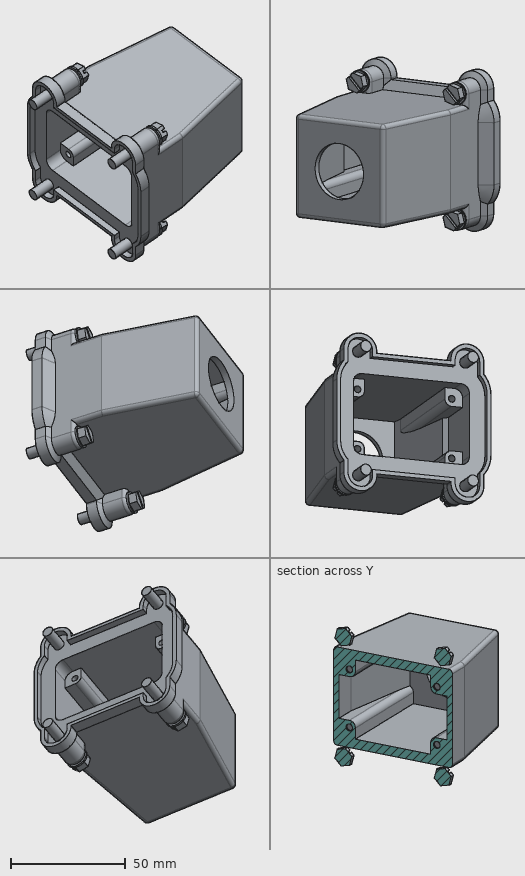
import cadquery as cq
import math

flange_width = 72.0
flange_height = 71.4
hood_length = 74.45
screw_protrusion = 7.0

plate_height = 54.7
plate_corner = 13.5
flange_thickness = 5.0
bevel_angle = 30
bevel_height = 3.5
plate_rim = 1.8
lobe_rim = 1.95
recess_depth = 3.0

screw_spacing_x = 50.0
screw_spacing_z = 56.0
sleeve_radius = 5.0
sleeve_top = 18.0
thread_diameter = 5.0
washer_diameter = 9.8
washer_thickness = 0.8
head_across_flats = 7.8
head_height = 3.7
head_turn = 15
slot_turn = 45
slot_width = 1.1
slot_depth = 1.5

lobe_radius = (flange_height - screw_spacing_z) / 2

hood_width = screw_spacing_x + 2 * sleeve_radius
hood_height = 46.0
hood_back_width = 45.6
taper_start = 30.95
edge_radius = 1.95

cavity_width = 54.1
cavity_height = 36.65
cavity_corner = 4.0
back_wall = 3.0
floor_y = hood_length - back_wall
left_floor_x = -20.5
right_step = 1.95
right_floor_x = 17.9
cable_hole_diameter = 25.0

pillar_width = 8.2
pillar_corner = 3.0
pillar_front = 11.4
pillar_hole_diameter = 3.0
pillar_hole_spacing_x = 44
pillar_hole_spacing_z = 27.05
pillar_hole_depth = 9.8

CORNERS = [(sx, sz) for sx in (-1, 1) for sz in (-1, 1)]


def section(y):
    """Workplane in X and Z at the given Y whose extrusions run toward +Y."""
    return cq.Workplane(cq.Plane(origin=(0, y, 0), xDir=(-1, 0, 0), normal=(0, 1, 0)))


def block(x0, x1, y0, y1, z0, z1):
    """Box between two opposite corners, given in any order."""
    return cq.Workplane("XY").box(abs(x1 - x0), abs(y1 - y0), abs(z1 - z0)).translate(
        ((x0 + x1) / 2, (y0 + y1) / 2, (z0 + z1) / 2)
    )


def plate_outline(y, inset):
    """Rounded rectangle of the flange, drawn in by an inset."""
    outline = cq.Sketch().rect(flange_width - 2 * inset, plate_height - 2 * inset)
    return section(y).placeSketch(outline.vertices().fillet(plate_corner - inset))


def screw_slots(y, radius):
    """Upright slot outlines, one per side, running round its upper and lower screw."""
    return (
        section(y)
        .pushPoints([(-screw_spacing_x / 2, 0), (screw_spacing_x / 2, 0)])
        .slot2D(screw_spacing_z + 2 * radius, 2 * radius, 90)
    )


def make_flange():
    """Straight-sided flange with a bevel rising toward the hood."""
    draft = 90 - bevel_angle
    flange = plate_outline(0, 0).extrude(flange_thickness)
    flange = flange.union(screw_slots(0, lobe_radius).extrude(flange_thickness))
    flange = flange.union(plate_outline(flange_thickness, 0).extrude(bevel_height, taper=draft))
    return flange.union(screw_slots(flange_thickness, lobe_radius).extrude(bevel_height, taper=draft))


def make_recess():
    recess = plate_outline(0, plate_rim).extrude(recess_depth)
    return recess.union(screw_slots(0, lobe_radius - lobe_rim).extrude(recess_depth))


def make_hood():
    outline = [
        (-hood_width / 2, 0),
        (-hood_width / 2, taper_start),
        (-hood_back_width / 2, hood_length),
        (hood_back_width / 2, hood_length),
        (hood_width / 2, taper_start),
        (hood_width / 2, 0),
    ]
    hood = cq.Workplane("XY").polyline(outline).close().extrude(hood_height / 2, both=True)
    return hood.faces("<Z or >Z or >Y").edges("not <Y").fillet(edge_radius)


def make_sleeves():
    sleeves = screw_slots(0, sleeve_radius).extrude(sleeve_top)
    return sleeves.faces(">Y").edges().fillet(edge_radius)


def make_cavity():
    """Hollow with a tapered left wall and a stepped, tapered right wall."""
    outline = [
        (-cavity_width / 2, 0),
        (-cavity_width / 2, taper_start),
        (left_floor_x, floor_y),
        (right_floor_x, floor_y),
        (cavity_width / 2 - right_step, taper_start),
        (cavity_width / 2, taper_start - right_step),
        (cavity_width / 2, 0),
    ]
    profile = cq.Workplane("XY").polyline(outline).close().extrude(cavity_height / 2, both=True)
    mouth = cq.Sketch().rect(cavity_width, cavity_height).vertices().fillet(cavity_corner)
    return profile.intersect(section(0).placeSketch(mouth).extrude(hood_length))


def make_pillar(sx, sz):
    """Corner pillar from its front face to the back wall, with a screw hole."""
    outer_x = cavity_width / 2
    inner_x = outer_x - pillar_width
    outer_z = cavity_height / 2
    inner_z = outer_z - pillar_width
    pillar = block(sx * inner_x, sx * outer_x, pillar_front, floor_y, sz * inner_z, sz * outer_z)
    inner_side_x = "<X" if sx > 0 else ">X"
    inner_side_z = "<Z" if sz > 0 else ">Z"
    pillar = pillar.faces(inner_side_x).edges(inner_side_z).fillet(pillar_corner)
    hole = (
        section(pillar_front)
        .center(-sx * pillar_hole_spacing_x / 2, sz * pillar_hole_spacing_z / 2)
        .circle(pillar_hole_diameter / 2)
        .extrude(pillar_hole_depth)
    )
    return pillar.cut(hole)


def make_screw():
    """Slotted hexagon screw with washer, on the Y axis."""
    washer_top = sleeve_top + washer_thickness
    head_top = washer_top + head_height
    shank = section(-screw_protrusion).circle(thread_diameter / 2).extrude(screw_protrusion + sleeve_top)
    washer = section(sleeve_top).circle(washer_diameter / 2).extrude(washer_thickness)
    corner_diameter = head_across_flats / math.cos(math.pi / 6)
    head = section(washer_top).polygon(6, corner_diameter).extrude(head_height)
    head = head.rotate((0, 0, 0), (0, 1, 0), -head_turn)
    half_slot = slot_width / 2
    slot = block(-corner_diameter, corner_diameter, head_top - slot_depth, head_top, -half_slot, half_slot)
    head = head.cut(slot.rotate((0, 0, 0), (0, 1, 0), -slot_turn))
    return shank.union(washer).union(head)


result = make_flange().union(make_hood()).union(make_sleeves())
cavity = make_cavity()
result = result.cut(cavity).cut(make_recess())
cable_hole = section(hood_length / 2).circle(cable_hole_diameter / 2).extrude(hood_length)
result = result.cut(cable_hole)

screw = make_screw()
for sx, sz in CORNERS:
    result = result.union(make_pillar(sx, sz).intersect(cavity))
    result = result.union(screw.translate((sx * screw_spacing_x / 2, 0, sz * screw_spacing_z / 2)))